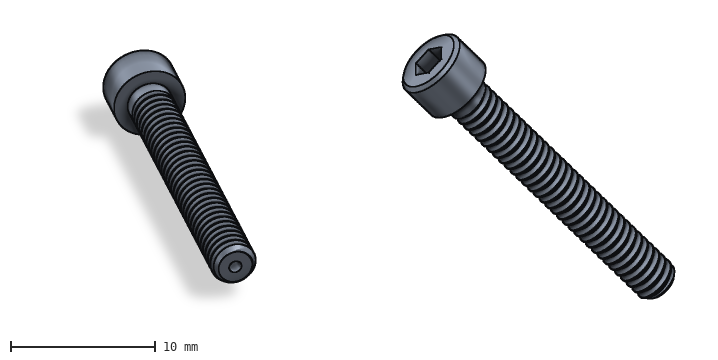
import cadquery as cq
import math

LENGTH = 25.35

HEAD_DIAMETER = 5.12
HEAD_LENGTH = 3.12
HEAD_CHAMFER_LENGTH = 0.28
HEAD_CHAMFER_DEPTH = 0.3

SOCKET_FLATS = 2.25
SOCKET_DEPTH = 1.52
BORE_DIAMETER = 0.89

SHANK_DIAMETER = 3.17
FULL_DEPTH_START = 4.39
FULL_DEPTH_TURNS = 33
PITCH = (LENGTH - FULL_DEPTH_START) / FULL_DEPTH_TURNS
THREAD_DEPTH = 0.38
THREAD_FLANK_ANGLE = 30.0
ROOT_FLAT = PITCH / 8
LEAD_IN_TURNS = 0.4
TIP_CHAMFER = THREAD_DEPTH

HEAD_RADIUS = HEAD_DIAMETER / 2
SHANK_RADIUS = SHANK_DIAMETER / 2
ROOT_RADIUS = SHANK_RADIUS - THREAD_DEPTH

GROOVE_CLEARANCE = 0.05
TIP_OVERLAP = 0.25
SPARE_LENGTH = 3.05
TURNS_PER_PASS = 4
GROOVE_REACH = THREAD_DEPTH + GROOVE_CLEARANCE


def turned(outline):
    """Solid of revolution about X from (x, radius) points."""
    return cq.Workplane("XY").polyline(outline).close().revolve(360, (0, 0, 0), (1, 0, 0))


def head():
    """Cylindrical head with a chamfered outer rim."""
    return turned([
        (0, 0),
        (0, HEAD_RADIUS - HEAD_CHAMFER_DEPTH),
        (HEAD_CHAMFER_LENGTH, HEAD_RADIUS),
        (HEAD_LENGTH, HEAD_RADIUS),
        (HEAD_LENGTH, 0),
    ])


def tip_waste():
    """Everything past the tip's end face and its 45 degree chamfer."""
    outer_radius = SHANK_RADIUS + TIP_OVERLAP
    return turned([
        (LENGTH, 0),
        (LENGTH, SHANK_RADIUS - TIP_CHAMFER),
        (LENGTH - TIP_CHAMFER - TIP_OVERLAP, outer_radius),
        (LENGTH + SPARE_LENGTH, outer_radius),
        (LENGTH + SPARE_LENGTH, 0),
    ])


def socket():
    """Hexagonal pocket in the head, with two corners on the Z axis."""
    across_corners = SOCKET_FLATS / math.cos(math.pi / 6)
    upright = cq.Plane((0, 0, 0), xDir=(0, 0, 1), normal=(1, 0, 0))
    return cq.Workplane(upright).polygon(6, across_corners).extrude(SOCKET_DEPTH)


def bore():
    """Round hole along the whole axis."""
    return cq.Workplane("YZ").circle(BORE_DIAMETER / 2).extrude(LENGTH)


def groove(path):
    """Thread groove swept along a path that starts on local +X and winds about local Z."""
    root_half = ROOT_FLAT / 2
    mouth_half = root_half + GROOVE_REACH * math.tan(math.radians(THREAD_FLANK_ANGLE))
    section = [
        (ROOT_RADIUS, -root_half),
        (ROOT_RADIUS + GROOVE_REACH, -mouth_half),
        (ROOT_RADIUS + GROOVE_REACH, mouth_half),
        (ROOT_RADIUS, root_half),
    ]
    return cq.Workplane("XZ").polyline(section).close().sweep(path, isFrenet=True)


def placed(body, x, direction):
    """Put a groove at x, starting at +Z, with its winding axis along +X or -X."""
    plane = cq.Plane((x, 0, 0), xDir=(0, 0, 1), normal=(direction, 0, 0))
    return cq.Workplane(body.val().moved(cq.Location(plane)))


def full_groove_passes():
    """Right-handed groove of full depth, as end-to-end lengths that run out past the tip."""
    pass_length = TURNS_PER_PASS * PITCH
    helix = cq.Wire.makeHelix(PITCH, pass_length, ROOT_RADIUS)
    one_pass = groove(cq.Workplane(helix))
    count = math.ceil(FULL_DEPTH_TURNS / TURNS_PER_PASS)
    return [placed(one_pass, FULL_DEPTH_START + i * pass_length, 1) for i in range(count)]


def lead_in_groove():
    """Groove that rises out of the shank on its way back towards the head."""
    advance = LEAD_IN_TURNS * PITCH
    slant = math.hypot(advance, GROOVE_REACH)
    cone_angle = math.degrees(math.atan2(GROOVE_REACH, advance))
    spiral = cq.Wire.makeHelix(slant / LEAD_IN_TURNS, slant, ROOT_RADIUS, angle=cone_angle)
    return placed(groove(cq.Workplane(spiral)), FULL_DEPTH_START, -1)


def threaded_shank():
    """Rod grooved while longer than needed, then cut back to the chamfered tip."""
    rod_length = LENGTH + SPARE_LENGTH - HEAD_LENGTH
    rod = cq.Workplane("YZ").workplane(offset=HEAD_LENGTH).circle(SHANK_RADIUS).extrude(rod_length)
    grooved = rod.cut(lead_in_groove())
    for groove_pass in full_groove_passes():
        grooved = grooved.cut(groove_pass)
    return grooved.cut(tip_waste())


result = head().union(threaded_shank()).cut(socket()).cut(bore())